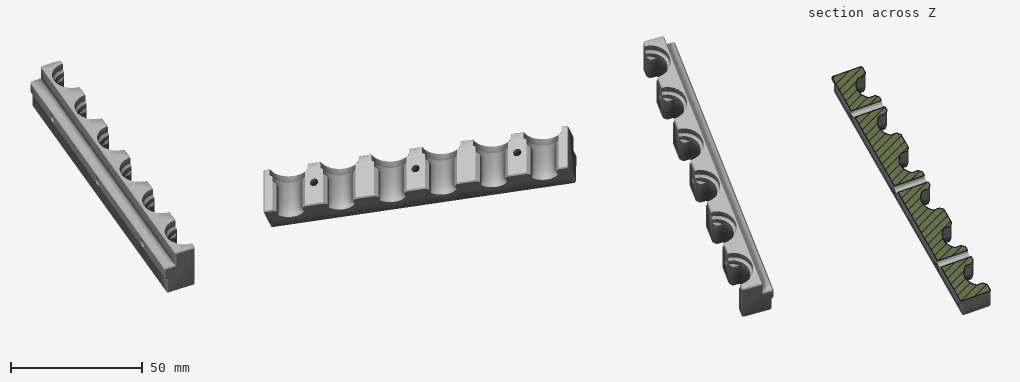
import cadquery as cq
import math

length = 120.0
height = 19.0
depth = 12.7

shelf_depth = 8.3
base_depth = 11.8
rail_overhang = depth - base_depth
rail_top = 12.8
rail_bottom = 7.9
edge_chamfer = 0.42
rail_chamfer = 0.6

ledge_slope = math.tan(math.radians(30))

cup_count = 6
cup_pitch = length / cup_count
cup_radius = 7.5
bore_radius = 6.4
cup_depth = 3.0
cone_height = (cup_radius - bore_radius) * ledge_slope
cup_center_offset = 0.1

mouth_half_width = 5.0
lip_width = bore_radius - mouth_half_width
lip_height = lip_width * ledge_slope
lip_top = 13.2

hole_diameter = 3.2
hole_spacing = 2 * cup_pitch
side_hole_z = 10.0
middle_hole_z = 9.5


def make_bar():
    """Stepped bar with every outer edge chamfered."""
    c = edge_chamfer
    profile = [
        (-c, 0),
        (0, c),
        (0, height - c),
        (-c, height),
        (-shelf_depth + c, height),
        (-shelf_depth, height - c),
        (-shelf_depth, rail_top),
        (-depth + rail_chamfer, rail_top),
        (-depth, rail_top - rail_chamfer),
        (-depth, rail_bottom),
        (-base_depth, rail_bottom - rail_overhang),
        (-base_depth, c),
        (-base_depth + c, 0),
    ]
    bar = cq.Workplane("YZ").polyline(profile).close().extrude(length)
    return bar.faces("<X or >X").chamfer(edge_chamfer)


def make_cup_cutter():
    """Stepped bore around the Z axis, narrowed at its mouth by two lips."""
    cone_top = height - cup_depth
    cone_bottom = cone_top - cone_height
    bore_profile = [
        (0, 0),
        (bore_radius, 0),
        (bore_radius, cone_bottom),
        (cup_radius, cone_top),
        (cup_radius, height),
        (0, height),
    ]
    bore = cq.Workplane("XZ").polyline(bore_profile).close().revolve(360, (0, 0), (0, 1))

    passage_profile = [
        (-mouth_half_width, 0),
        (mouth_half_width, 0),
        (mouth_half_width, lip_top - lip_height),
        (bore_radius, lip_top),
        (cup_radius, lip_top),
        (cup_radius, height),
        (-cup_radius, height),
        (-cup_radius, lip_top),
        (-bore_radius, lip_top),
        (-mouth_half_width, lip_top - lip_height),
    ]
    passage = cq.Workplane("XZ").polyline(passage_profile).close().extrude(cup_radius, both=True)

    back = -cup_center_offset
    entry_profile = [
        (-bore_radius, back),
        (bore_radius, back),
        (mouth_half_width, back - lip_width),
        (-mouth_half_width, back - lip_width),
    ]
    entry = cq.Workplane("XY").polyline(entry_profile).close().extrude(lip_top)
    return bore.intersect(passage).union(entry)


def make_hole_cutter(x, z):
    """Round hole running through the whole depth of the bar."""
    return cq.Workplane("XZ").center(x, z).circle(hole_diameter / 2).extrude(depth)


result = make_bar()

cup_cutter = make_cup_cutter()
for index in range(cup_count):
    cup_x = (index + 0.5) * cup_pitch
    result = result.cut(cup_cutter.translate((cup_x, cup_center_offset, 0)))

middle_x = length / 2
result = result.cut(make_hole_cutter(middle_x, middle_hole_z))
for side in (-1, 1):
    result = result.cut(make_hole_cutter(middle_x + side * hole_spacing, side_hole_z))